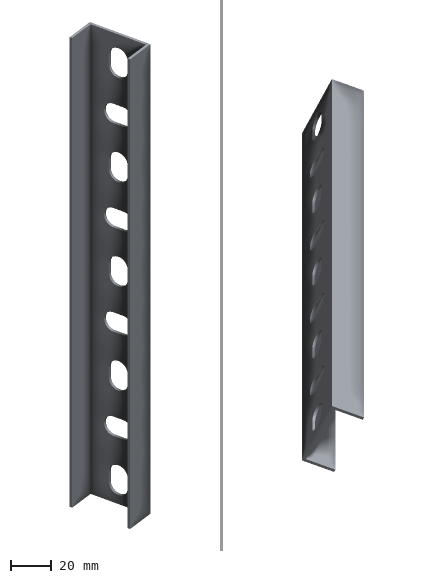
import cadquery as cq

length = 270.0
width = 36.2
depth = 17.3
thickness = 1.5

slot_length = 17.0
slot_width = 11.0
slot_pitch = 30.0
slot_count = 9
slot_row_offset = -1.4
first_slot_height = slot_row_offset - (slot_count - 1) / 2 * slot_pitch

UPRIGHT = 90
CROSSWISE = 0


def channel():
    """Solid bar with the inside of the channel removed."""
    bar = cq.Workplane("XY").box(width, depth, length)
    inside = cq.Workplane("XY").box(width - 2 * thickness, depth, length)
    return bar.cut(inside.translate((0, -thickness, 0)))


def web_slot(index):
    """Cutter for one slot, long enough to pass through the web."""
    angle = UPRIGHT if index % 2 == 0 else CROSSWISE
    height = first_slot_height + index * slot_pitch
    return (
        cq.Workplane("XZ")
        .center(0, height)
        .slot2D(slot_length, slot_width, angle)
        .extrude(-depth)
    )


result = channel()
for slot_index in range(slot_count):
    result = result.cut(web_slot(slot_index))